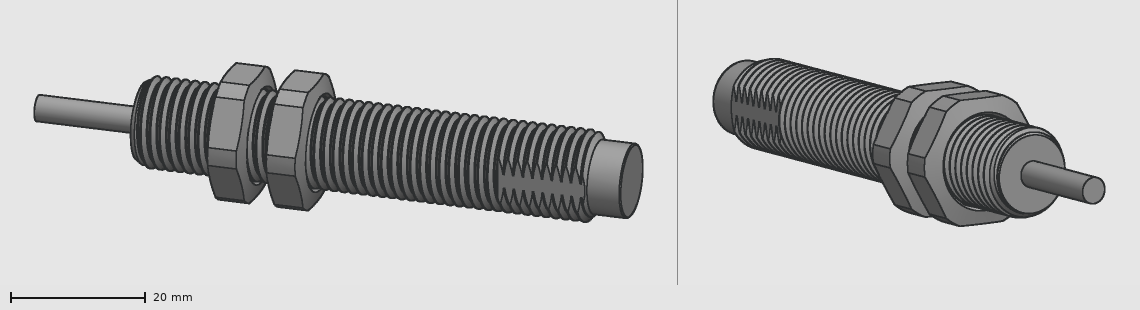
import cadquery as cq
import math


cable_diameter = 4.0
cable_length = 16.25
overall_length = 92.41
cap_diameter = 11.2
cap_end_chamfer = 0.2

thread_diameter = 13.8
thread_pitch = 1.5
root_diameter = 12.0
crest_width = thread_pitch / 8
root_width = thread_pitch / 8
barrel_length = 70.95
rear_face_diameter = 11.8
rear_chamfer_length = 1.6
front_chamfer_length = 1.0
ridge_embed = 0.05

flats_across = 11.8
flats_start = 57.2

nut_across_flats = 19.0
nut_corner_diameter = 20.48
nut_thickness = 6.0
nut_bore_diameter = thread_diameter + 0.1
nut_seat_diameter = 14.8
nut_face_angle = 15.0
first_nut_center = 15.6
nut_spacing = 9.15
nut_count = 2
hex_half_angle = 30.0


def rod(diameter, start, end):
    """Cylinder along X between two stations."""
    return cq.Workplane("YZ", origin=(start, 0, 0)).circle(diameter / 2).extrude(end - start)


def thread_ridge():
    """Helical ridge, running past both ends of the barrel, with a crest at X = 0 on top."""
    core_radius = root_diameter / 2
    crest_radius = thread_diameter / 2
    flank_slope = ((thread_pitch - root_width - crest_width) / 2) / (crest_radius - core_radius)
    base_half = (thread_pitch - root_width) / 2 + ridge_embed * flank_slope
    crest_half = crest_width / 2
    inner_radius = core_radius - ridge_embed
    turn_count = math.ceil(barrel_length / thread_pitch) + 2
    single_turn = cq.Wire.makeHelix(thread_pitch, thread_pitch, core_radius).Edges()[0]
    turns = [single_turn.translate(cq.Vector(0, 0, turn * thread_pitch)) for turn in range(turn_count)]
    helix = cq.Wire.assembleEdges(turns)
    ridge = (
        cq.Workplane("XZ")
        .polyline([
            (inner_radius, -base_half),
            (crest_radius, -crest_half),
            (crest_radius, crest_half),
            (inner_radius, base_half),
        ])
        .close()
        .sweep(cq.Workplane(helix), isFrenet=True)
    )
    ridge = ridge.rotate((0, 0, 0), (0, 1, 0), 90).rotate((0, 0, 0), (1, 0, 0), 180)
    return ridge.translate((-thread_pitch, 0, 0))


def barrel_envelope():
    """Chamfered cylinder that trims both ends of the thread."""
    outer_radius = thread_diameter / 2 + ridge_embed
    return (
        cq.Workplane("XY")
        .moveTo(0, 0)
        .lineTo(0, rear_face_diameter / 2)
        .lineTo(rear_chamfer_length, outer_radius)
        .lineTo(barrel_length - front_chamfer_length, outer_radius)
        .lineTo(barrel_length, cap_diameter / 2)
        .lineTo(barrel_length, 0)
        .close()
        .revolve(360, (0, 0, 0), (1, 0, 0))
    )


def wrench_flats():
    """Two blocks that cut the parallel flats on the +Y and -Y sides."""
    length = barrel_length - flats_start
    depth = thread_diameter - flats_across
    block = cq.Workplane("XY").box(length, depth, 2 * thread_diameter)
    center_x = flats_start + length / 2
    center_y = (flats_across + depth) / 2
    return block.translate((center_x, center_y, 0)).union(block.translate((center_x, -center_y, 0)))


def sensor_body():
    """Threaded barrel with wrench flats, the cable behind it and the sensing cap in front."""
    barrel = rod(root_diameter, 0, barrel_length).union(thread_ridge(), clean=False)
    barrel = barrel.intersect(barrel_envelope().cut(wrench_flats()), clean=False)
    cable = rod(cable_diameter, -cable_length, 0)
    cap = rod(cap_diameter, barrel_length, overall_length - cable_length)
    cap = cap.faces(">X").chamfer(cap_end_chamfer)
    return barrel.union(cable, clean=False).union(cap, clean=False)


def hex_nut(center_x):
    """Hex nut with conical faces and rounded-off corners, bored to clear the thread."""
    half = nut_thickness / 2
    bore_radius = nut_bore_diameter / 2
    seat_radius = nut_seat_diameter / 2
    corner_radius = nut_corner_diameter / 2
    seat_step = seat_radius - bore_radius
    rim_half = half - (corner_radius - seat_radius) * math.tan(math.radians(nut_face_angle))
    turned = (
        cq.Workplane("XY")
        .moveTo(seat_step - half, bore_radius)
        .lineTo(-half, seat_radius)
        .lineTo(-rim_half, corner_radius)
        .lineTo(rim_half, corner_radius)
        .lineTo(half, seat_radius)
        .lineTo(half - seat_step, bore_radius)
        .close()
        .revolve(360, (0, 0, 0), (1, 0, 0))
    )
    hexagon = (
        cq.Workplane("YZ", origin=(-half, 0, 0))
        .transformed(rotate=(0, 0, hex_half_angle))
        .polygon(6, nut_across_flats, circumscribed=True)
        .extrude(nut_thickness)
    )
    return turned.intersect(hexagon).translate((center_x, 0, 0))


sensor = sensor_body()
nuts = [hex_nut(first_nut_center + index * nut_spacing) for index in range(nut_count)]

result = cq.Compound.makeCompound([sensor.solids().val(), *[nut.val() for nut in nuts]])